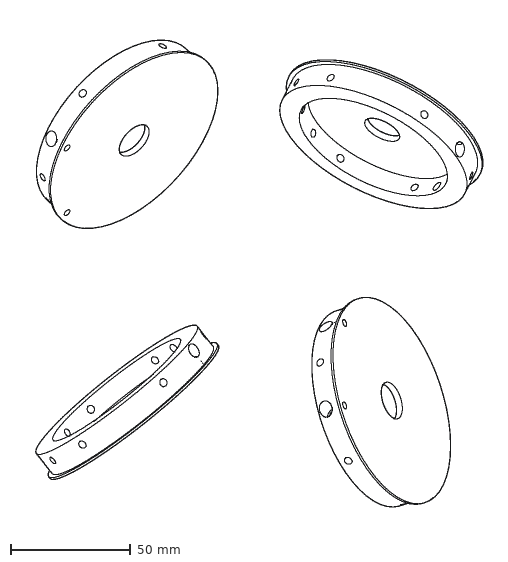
import cadquery as cq
import math

flange_diameter = 90.0
flange_thickness = 1.0
body_diameter = 86.0
total_width = 12.0
pocket_diameter = 68.0
pocket_depth = 9.0
bore_diameter = 16.0

radial_hole_x = 4.2
radial_hole_diameter = 3.3
radial_hole_angles = [-120, -60, -30, 0, 30, 60, 120, 180]

screw_x = 3.8
screw_z = 20.0
screw_diameter = 4.0
counterbore_diameter = 6.0
counterbore_floor_y = -32.0

cross_hole_diameter = 3.0
cross_hole_y = -36.1


def disc(diameter, start_x, length):
    """Cylinder on the X axis."""
    return cq.Workplane("YZ", origin=(start_x, 0, 0)).circle(diameter / 2).extrude(length)


def cutter(diameter, start, direction, length):
    """Drill-shaped cylinder from a start point along a direction."""
    return cq.Workplane(
        cq.Solid.makeCylinder(diameter / 2, length, cq.Vector(*start), cq.Vector(*direction))
    )


def radial_hole(angle):
    """Hole from the pocket outward through the rim."""
    direction = (0, math.cos(math.radians(angle)), math.sin(math.radians(angle)))
    start_radius = pocket_diameter / 4
    start = (radial_hole_x, start_radius * direction[1], start_radius * direction[2])
    return cutter(radial_hole_diameter, start, direction, flange_diameter / 2 - start_radius)


def screw_hole(z):
    """Stepped hole from the pocket outward through the -Y side of the rim."""
    outward = (0, -1, 0)
    shank = cutter(screw_diameter, (screw_x, 0, z), outward, flange_diameter / 2)
    head_length = flange_diameter / 2 + counterbore_floor_y
    head = cutter(counterbore_diameter, (screw_x, counterbore_floor_y, z), outward, head_length)
    return shank.union(head)


def cross_hole(z):
    """Hole from the middle of a counterbore out through the flange face."""
    return disc(cross_hole_diameter, screw_x, total_width - screw_x).translate((0, cross_hole_y, z))


result = disc(body_diameter, 0, total_width)
result = result.union(disc(flange_diameter, total_width - flange_thickness, flange_thickness))
result = result.cut(disc(pocket_diameter, 0, pocket_depth))
result = result.cut(disc(bore_diameter, 0, total_width))

for hole_angle in radial_hole_angles:
    result = result.cut(radial_hole(hole_angle))

for side in (-1, 1):
    result = result.cut(screw_hole(side * screw_z))
    result = result.cut(cross_hole(side * screw_z))